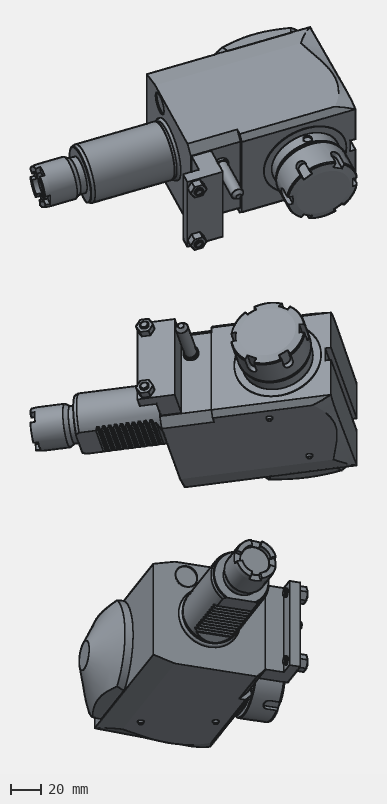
import cadquery as cq
import math


BODY_LEFT = -39.2
BODY_RIGHT = 41.7
BODY_BACK = 116.0
HALF_HEIGHT = 37.5
SLOPE_ANGLE = 15.0
SLOPE_START_X = -24.2
CORNER_CHAMFER = 3.9
STEP_X = 39.2
STEP_Y = 35.3
STEP_CHAMFER = 5.9
BACK_SLOT_WIDTH = 10.0
BACK_SLOT_DEPTH = 3.9
BEVEL_SECTIONS = [
    (BODY_LEFT, 97.0, 33.5),
    (SLOPE_START_X, 103.5, 34.0),
    (-2.9, 110.4, 34.7),
    (18.5, 112.3, 35.5),
    (37.8, 102.7, 34.8),
    (BODY_RIGHT, 99.0, 33.6),
]
BEVEL_EXTENSION = 1.0
PLUG_X, PLUG_Z = -16.0, 28.0
PLUG_RADIUS = 7.6
PLUG_RECESS = 1.0
BUTTON_PLACES = [(-16.5, 88.9), (29.9, 71.9)]
BUTTON_RADIUS = 2.2
BUTTON_TIP_RADIUS = 1.3
BUTTON_HEIGHT = 1.6

SPINDLE_Y = 80.1
CAP_RADIUS = 40.0
CAP_RIM_X = -44.9
CAP_TIP_X = -59.3
CAP_TIP_RADIUS = 10.0
CAP_BACK_Y = 111.3
CAP_LEDGE_X = -41.1
CAP_LEDGE_Z = 32.75
FLANGE_RADIUS = 29.3
FLANGE_X = 42.2
COLLAR_RADIUS = 23.9
COLLAR_EDGE = 0.5
COLLAR_X = 50.4
GROOVE_RADIUS = 20.6
NUT_START_X = 52.3
NUT_RADIUS = 25.0
NUT_BEVEL_X = 71.9
NUT_SHOULDER_X = 73.0
NUT_SHOULDER_RADIUS = 24.5
NUT_END_X = 74.3
NUT_END_RADIUS = 19.0
NUT_EDGE = 0.5
WRENCH_SLOTS = 6
WRENCH_SLOT_WIDTH = 6.8
WRENCH_SLOT_START_X = 61.9
WRENCH_SLOT_FLOOR = 21.3
SCREW_HOLE_X = 46.4
SCREW_HOLE_RADIUS = 2.9
SCREW_HOLE_DEPTH = 1.5

BRACKET_HALF_HEIGHT = 31.0
BRACKET_RIGHT = 59.9
BRACKET_BACK = 14.5
BRACKET_FRONT = 0.6
LEG_LEFT = 52.3
LEG_FRONT = -10.7
BOLT_Y = -4.8
BOLT_Z = 25.0
BOLT_RADIUS = 3.0
BOLT_START_X = 50.5
BOLT_END_X = 66.4
BOLT_CHAMFER = 0.7
HEX_ACROSS_FLATS = 10.0
HEX_END_X = 65.2
PIN_Y, PIN_Z = 21.2, 16.0
PIN_RADIUS = 4.2
PIN_END_X = 71.6
PIN_CHAMFER_LENGTH = 2.6
PIN_CHAMFER_DEPTH = 2.2
PIN_COLLAR_RADIUS = 5.1
PIN_COLLAR_X = 41.2

SHANK_RADIUS = 20.2
BEAD_RADIUS = 21.5
BEAD_LENGTH = 2.0
BEAD_FILLET = 1.5
UNDERCUT_RADIUS = 19.6
UNDERCUT_END_Y = -3.8
SHANK_TAPER_Y = -60.3
SHANK_TAPER_RADIUS = 19.4
SHANK_TAPER_END_Y = -62.6
SHANK_END_Y = -63.0
SHANK_END_RADIUS = 18.9
NECK_RADIUS = 12.6
NECK_END_Y = -67.5
DRIVE_RADIUS = 14.6
DRIVE_START_Y = -70.8
DRIVE_TAPER_Y = -89.4
DRIVE_TIP_RADIUS = 14.1
DRIVE_END_Y = -93.0
DRIVE_BORE_RADIUS = 10.2
DRIVE_BORE_DEPTH = 4.0
DRIVE_SLOT_DEPTH = 3.2
DRIVE_SLOT_ANGLE = 32.0
DRIVE_SLOTS = 4
FLAT_Z = -16.2
FLAT_START_Y = -8.4
TOOTH_PITCH = 4.0
TOOTH_GAPS = 10
GAP_MOUTH = 3.2
GAP_ROOT = 1.2
TOOTH_DEPTH = 1.6
FIRST_GAP_Y = -11.4


def revolve_y(profile):
    """Turn (radius, y) points about the Y axis."""
    return cq.Workplane("XY").polyline(profile).close().revolve(360, (0, 0, 0), (0, 1, 0))


def revolve_x(profile, y, z):
    """Turn (x, radius) points about a line parallel to X through y, z."""
    turned = cq.Workplane("XY").polyline(profile).close().revolve(360, (0, 0, 0), (1, 0, 0))
    return turned.translate((0, y, z))


def box(x_range, y_range, z_range):
    """Box between pairs of limits."""
    sizes = [limits[1] - limits[0] for limits in (x_range, y_range, z_range)]
    corner = (x_range[0], y_range[0], z_range[0])
    return cq.Workplane("XY").box(*sizes, centered=False).translate(corner)


def slope_z(x):
    """Height of the upper sloping plane at x."""
    return HALF_HEIGHT - (SLOPE_START_X - x) * math.tan(math.radians(SLOPE_ANGLE))


def mirrored_prism(upper_outline, y_front, y_back):
    """Prism along Y over an (x, z) outline and its mirror image below Z = 0."""
    outline = upper_outline + [(x, -z) for x, z in reversed(upper_outline)]
    prism = cq.Workplane("XZ").polyline(outline).close().extrude(y_front - y_back)
    return prism.translate((0, y_front, 0))


def body_prism(right, chamfer, y_front, y_back):
    """Length of the body: sloping planes at the left, 45 degree chamfers at the right."""
    return mirrored_prism([
        (BODY_LEFT, slope_z(BODY_LEFT)), (SLOPE_START_X, HALF_HEIGHT),
        (right - chamfer, HALF_HEIGHT), (right, HALF_HEIGHT - chamfer),
    ], y_front, y_back)


def back_bevel():
    """Curved wedge that removes the upper back edge of the body."""
    wires = []
    for x, top_y, back_z in BEVEL_SECTIONS:
        slope = (back_z - HALF_HEIGHT) / (BODY_BACK - top_y)
        high_z = HALF_HEIGHT + BEVEL_EXTENSION
        near_y = top_y + BEVEL_EXTENSION / slope
        far_y = BODY_BACK + BEVEL_EXTENSION
        far_z = back_z + slope * BEVEL_EXTENSION
        points = [(x, near_y, high_z), (x, far_y, far_z), (x, far_y, high_z)]
        wires.append(cq.Wire.makePolygon([cq.Vector(*p) for p in points], close=True))
    return cq.Workplane(obj=cq.Solid.makeLoft(wires))


def make_body():
    front = body_prism(STEP_X, STEP_CHAMFER, 0, STEP_Y)
    rear = body_prism(BODY_RIGHT, CORNER_CHAMFER, STEP_Y, BODY_BACK)
    body = front.union(rear)
    bevel = back_bevel()
    body = body.cut(bevel).cut(bevel.mirror("XY"))
    half_slot = BACK_SLOT_WIDTH / 2
    body = body.cut(box(
        (BODY_LEFT, BODY_RIGHT), (BODY_BACK - BACK_SLOT_DEPTH, BODY_BACK), (-half_slot, half_slot)
    ))
    plug = cq.Workplane("XZ").center(PLUG_X, PLUG_Z).circle(PLUG_RADIUS).extrude(-PLUG_RECESS)
    body = body.cut(plug)
    for x, y in BUTTON_PLACES:
        button = (
            cq.Workplane("XY", origin=(x, y, -HALF_HEIGHT))
            .circle(BUTTON_RADIUS)
            .workplane(offset=-BUTTON_HEIGHT)
            .circle(BUTTON_TIP_RADIUS)
            .loft()
        )
        body = body.union(button)
    return body


def make_cap():
    """Conical cap, trimmed just below the sloping planes and flat at the back."""
    cone = revolve_x([
        (BODY_LEFT, 0), (BODY_LEFT, CAP_RADIUS), (CAP_RIM_X, CAP_RADIUS),
        (CAP_TIP_X, CAP_TIP_RADIUS), (CAP_TIP_X, 0),
    ], SPINDLE_Y, 0)
    ledge_drop = slope_z(CAP_LEDGE_X) - CAP_LEDGE_Z
    envelope = mirrored_prism([
        (CAP_TIP_X, slope_z(CAP_TIP_X) - ledge_drop),
        (CAP_LEDGE_X, CAP_LEDGE_Z), (BODY_LEFT, CAP_LEDGE_Z),
    ], 0, CAP_BACK_Y)
    return cone.intersect(envelope)


def make_spindle():
    spindle = revolve_x([
        (0, 0), (0, FLANGE_RADIUS), (FLANGE_X, FLANGE_RADIUS),
        (FLANGE_X, COLLAR_RADIUS), (COLLAR_X - COLLAR_EDGE, COLLAR_RADIUS),
        (COLLAR_X, COLLAR_RADIUS - COLLAR_EDGE), (COLLAR_X, GROOVE_RADIUS), (NUT_START_X, GROOVE_RADIUS),
        (NUT_START_X, NUT_RADIUS - NUT_EDGE), (NUT_START_X + NUT_EDGE, NUT_RADIUS),
        (NUT_BEVEL_X, NUT_RADIUS), (NUT_SHOULDER_X, NUT_SHOULDER_RADIUS),
        (NUT_END_X, NUT_END_RADIUS), (NUT_END_X, 0),
    ], SPINDLE_Y, 0)
    slot_radius = WRENCH_SLOT_WIDTH / 2
    arc_x = WRENCH_SLOT_START_X + slot_radius
    slot = (
        cq.Workplane("XZ", origin=(0, -WRENCH_SLOT_FLOOR, 0))
        .moveTo(NUT_END_X, slot_radius)
        .lineTo(arc_x, slot_radius)
        .threePointArc((WRENCH_SLOT_START_X, 0), (arc_x, -slot_radius))
        .lineTo(NUT_END_X, -slot_radius)
        .close()
        .extrude(NUT_RADIUS - WRENCH_SLOT_FLOOR + NUT_EDGE)
    )
    for index in range(WRENCH_SLOTS):
        turned = slot.rotate((0, 0, 0), (1, 0, 0), index * 360 / WRENCH_SLOTS)
        spindle = spindle.cut(turned.translate((0, SPINDLE_Y, 0)))
    screw_hole = (
        cq.Workplane("XY", origin=(SCREW_HOLE_X, SPINDLE_Y, COLLAR_RADIUS))
        .circle(SCREW_HOLE_RADIUS)
        .extrude(-SCREW_HOLE_DEPTH)
    )
    return spindle.cut(screw_hole)


def make_bracket():
    """L-shaped bracket with two bolts, each with a hexagon."""
    outline = [
        (STEP_X, BRACKET_BACK), (BRACKET_RIGHT, BRACKET_BACK), (BRACKET_RIGHT, LEG_FRONT),
        (LEG_LEFT, LEG_FRONT), (LEG_LEFT, BRACKET_FRONT), (STEP_X, BRACKET_FRONT),
    ]
    bracket = (
        cq.Workplane("XY", origin=(0, 0, -BRACKET_HALF_HEIGHT))
        .polyline(outline)
        .close()
        .extrude(2 * BRACKET_HALF_HEIGHT)
    )
    hex_diameter = HEX_ACROSS_FLATS / math.cos(math.pi / 6)
    for z in (-BOLT_Z, BOLT_Z):
        start = cq.Workplane("YZ", origin=(BOLT_START_X, BOLT_Y, z))
        bolt = start.circle(BOLT_RADIUS).extrude(BOLT_END_X - BOLT_START_X)
        bolt = bolt.faces("<X or >X").chamfer(BOLT_CHAMFER)
        seat = cq.Workplane("YZ", origin=(BRACKET_RIGHT, BOLT_Y, z))
        hexagon = seat.polygon(6, hex_diameter).extrude(HEX_END_X - BRACKET_RIGHT)
        bracket = bracket.union(bolt).union(hexagon)
    return bracket


def make_pin():
    return revolve_x([
        (STEP_X, 0), (STEP_X, PIN_COLLAR_RADIUS), (PIN_COLLAR_X, PIN_COLLAR_RADIUS),
        (PIN_COLLAR_X, PIN_RADIUS), (PIN_END_X - PIN_CHAMFER_LENGTH, PIN_RADIUS),
        (PIN_END_X, PIN_RADIUS - PIN_CHAMFER_DEPTH), (PIN_END_X, 0),
    ], PIN_Y, PIN_Z)


def rack_cutter():
    """Region below the toothed flat, with a 45 degree run-out towards the body."""
    deep = -BEAD_RADIUS - TOOTH_DEPTH
    outline = [(SHANK_END_Y, deep), (SHANK_END_Y, FLAT_Z)]
    for index in reversed(range(TOOTH_GAPS)):
        middle = FIRST_GAP_Y - index * TOOTH_PITCH
        outline += [
            (middle - GAP_MOUTH / 2, FLAT_Z),
            (middle - GAP_ROOT / 2, FLAT_Z + TOOTH_DEPTH),
            (middle + GAP_ROOT / 2, FLAT_Z + TOOTH_DEPTH),
            (middle + GAP_MOUTH / 2, FLAT_Z),
        ]
    outline += [(FLAT_START_Y, FLAT_Z), (FLAT_START_Y + FLAT_Z - deep, deep)]
    return cq.Workplane("YZ").polyline(outline).close().extrude(BEAD_RADIUS, both=True)


def make_shank():
    shank = revolve_y([
        (0, 0), (UNDERCUT_RADIUS, 0), (UNDERCUT_RADIUS, UNDERCUT_END_Y),
        (SHANK_RADIUS, UNDERCUT_END_Y), (SHANK_RADIUS, SHANK_TAPER_Y),
        (SHANK_TAPER_RADIUS, SHANK_TAPER_END_Y), (SHANK_END_RADIUS, SHANK_END_Y),
        (NECK_RADIUS, SHANK_END_Y), (NECK_RADIUS, NECK_END_Y),
        (DRIVE_RADIUS, DRIVE_START_Y), (DRIVE_RADIUS, DRIVE_TAPER_Y),
        (DRIVE_TIP_RADIUS, DRIVE_END_Y),
        (0, DRIVE_END_Y),
    ])
    bead = cq.Workplane("XZ").circle(BEAD_RADIUS).extrude(BEAD_LENGTH)
    bead = bead.faces("<Y").edges().fillet(BEAD_FILLET)
    end = cq.Workplane("XZ", origin=(0, DRIVE_END_Y, 0))
    shank = shank.union(bead).cut(end.circle(DRIVE_BORE_RADIUS).extrude(-DRIVE_BORE_DEPTH))
    half_width = DRIVE_RADIUS * math.tan(math.radians(DRIVE_SLOT_ANGLE / 2))
    slot = (
        end.polyline([(0, 0), (DRIVE_RADIUS, -half_width), (DRIVE_RADIUS, half_width)])
        .close()
        .extrude(-DRIVE_SLOT_DEPTH)
    )
    for index in range(DRIVE_SLOTS):
        shank = shank.cut(slot.rotate((0, 0, 0), (0, 1, 0), index * 360 / DRIVE_SLOTS))
    return shank.cut(rack_cutter())


result = make_body()
for piece in (make_cap(), make_spindle(), make_bracket(), make_pin(), make_shank()):
    result = result.union(piece)